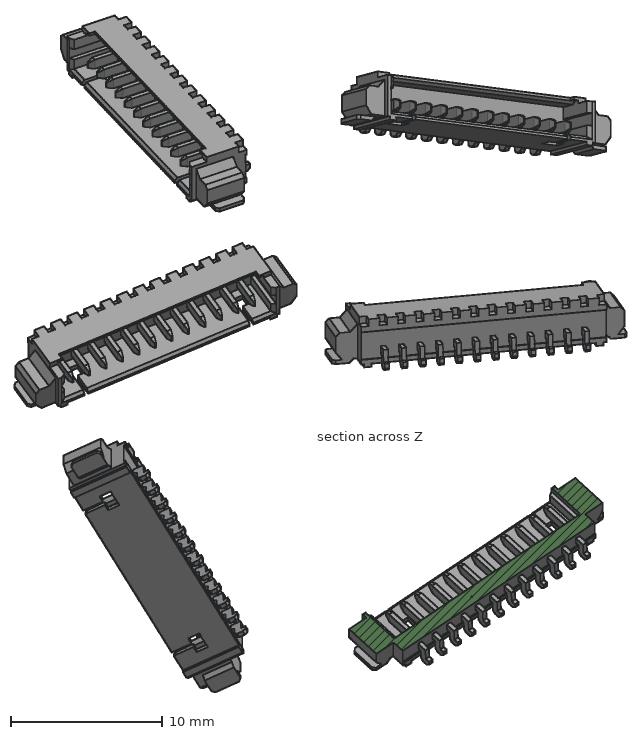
import cadquery as cq


pin_count = 12
pitch = 1.25
pin_width = 0.32
pin_row_half = (pin_count - 1) * pitch / 2
pin_positions = [i * pitch - pin_row_half for i in range(pin_count)]

housing_length = 16.75
housing_depth = 4.2
housing_top = 3.4
housing_bottom = 0.22
half_length = housing_length / 2

side_wall_top = 3.0
ear_front = 1.15
roof_front = 1.58
roof_opening_half = 7.45

cavity_half = 7.8
cavity_floor = 0.6
cavity_roof = 3.0
cavity_back = 2.9
lead_in = 0.2
wall_groove_bottom = 1.36
wall_groove_top = 2.2
wall_groove_depth = 0.3

rear_recess = 0.1
rear_recess_bottom = 0.55
rear_recess_top = 2.5
notch_width = 0.5
notch_depth = 0.6
notch_height = 0.5

slit_x = pin_row_half - pitch / 2
slit_width = 0.28
slit_end = 1.47
window_width = 1.2
window_end = 2.3

rail_width = 0.5
rail_inset = 0.2

blade_bottom = 0.95
blade_top = 1.7
blade_shoulder = 1.15
blade_tip = 0.7
tip_width = 0.1
tip_bottom = 1.1
tip_top = 1.5

tail_top = 1.38
tail_underside = 0.9
tail_bend_radius = 0.22
tail_heel_front = 4.38
tail_back_top = 4.83
tail_back_bottom = 4.88
tail_end = 5.2
foot_top = 0.52
foot_chamfer = 0.2

clip_front = 0.36
clip_back = 3.16
clip_outer = 9.87
clip_root_top = 2.72
clip_top = 2.2
clip_top_inner = 8.88
clip_top_outer = 9.6
clip_side_top = 1.93
clip_side_bottom = 0.83
clip_bottom_outer = 9.44
tab_outer = 10.075
tab_inner_top = 8.65
tab_inner_bottom = 8.93
tab_front = 0.97
tab_thickness = 0.28
tab_corner = 0.2


def box(x0, x1, y0, y1, z0, z1):
    """Box between opposite corners."""
    return cq.Workplane("XY").box(x1 - x0, y1 - y0, z1 - z0, centered=False).translate((x0, y0, z0))


def both_ends(shape):
    """The shape together with its mirror image at the other end of the row."""
    return shape.union(shape.mirror("YZ"))


def rectangle_loft(near, far, y_near, y_far):
    """Straight-sided solid between two XZ rectangles given as (half width, bottom, top)."""
    wires = []
    for (half, bottom, top), y in ((near, y_near), (far, y_far)):
        corners = [(-half, y, bottom), (half, y, bottom), (half, y, top), (-half, y, top)]
        wires.append(cq.Wire.makePolygon([cq.Vector(*p) for p in corners], close=True))
    return cq.Workplane(obj=cq.Solid.makeLoft(wires, True))


def make_shell():
    """Outer block with lowered side walls and a set-back roof."""
    shell = box(-half_length, half_length, 0, housing_depth, housing_bottom, housing_top)
    shell = shell.cut(box(-half_length, half_length, 0, ear_front, side_wall_top, housing_top))
    return shell.cut(box(-roof_opening_half, roof_opening_half, 0, roof_front, side_wall_top, housing_top))


def make_cavity():
    """Mating cavity with lead-in chamfers and a groove along each side wall."""
    cavity = box(-cavity_half, cavity_half, 0, cavity_back, cavity_floor, cavity_roof)
    groove_half = cavity_half + wall_groove_depth
    cavity = cavity.union(
        box(-groove_half, groove_half, 0, cavity_back, wall_groove_bottom, wall_groove_top)
    )
    mouth = (cavity_half + wall_groove_depth, cavity_floor - lead_in, side_wall_top)
    throat = (cavity_half, cavity_floor, side_wall_top)
    cavity = cavity.union(rectangle_loft(mouth, throat, 0, lead_in))
    roof_profile = [
        (ear_front, cavity_roof),
        (ear_front, cavity_roof + lead_in),
        (roof_front, cavity_roof + lead_in),
        (roof_front + lead_in, cavity_roof),
    ]
    roof_lead_in = (
        cq.Workplane("YZ").polyline(roof_profile).close().extrude(cavity_half, both=True)
    )
    return cavity.union(roof_lead_in)


def make_rear_cuts():
    """Shallow band across the rear face and notches along its top edge."""
    recess_front = housing_depth - rear_recess
    cuts = box(-half_length, half_length, recess_front, housing_depth, rear_recess_bottom, rear_recess_top)
    notch_front = housing_depth - notch_depth
    notch_bottom = housing_top - notch_height
    notch = box(-notch_width / 2, notch_width / 2, notch_front, housing_depth, notch_bottom, housing_top)
    for x in pin_positions:
        cuts = cuts.union(notch.translate((x, 0, 0)))
    corner_x = half_length - notch_width / 2
    return cuts.union(both_ends(notch.translate((corner_x, 0, 0))))


def make_floor_slits():
    """T-shaped opening through the floor near each end."""
    slit = box(-slit_width / 2, slit_width / 2, 0, slit_end, housing_bottom, cavity_floor)
    window = box(-window_width / 2, window_width / 2, slit_end, window_end, housing_bottom, cavity_floor)
    return both_ends(slit.union(window).translate((slit_x, 0, 0)))


def make_rails():
    """Standoff rail under each end wall."""
    rail_outer = half_length - rail_inset
    return both_ends(box(rail_outer - rail_width, rail_outer, 0, housing_depth, 0, housing_bottom))


def make_pin():
    """Pin centred on X = 0: tapered tip, blade through the rear wall, bent tail."""
    half_width = pin_width / 2
    blade = box(-half_width, half_width, blade_shoulder, cavity_back, blade_bottom, blade_top)
    tip = rectangle_loft(
        (tip_width / 2, tip_bottom, tip_top),
        (half_width, blade_bottom, blade_top),
        blade_tip,
        blade_shoulder,
    )
    bend_start = tail_underside - tail_bend_radius
    bend_end = tail_heel_front - tail_bend_radius
    tail = (
        cq.Workplane("YZ")
        .moveTo(cavity_back, tail_top)
        .lineTo(tail_back_top, tail_top)
        .lineTo(tail_back_bottom, foot_top)
        .lineTo(tail_end, foot_top)
        .lineTo(tail_end, foot_chamfer)
        .lineTo(tail_end - foot_chamfer, 0)
        .lineTo(tail_heel_front + foot_chamfer, 0)
        .lineTo(tail_heel_front, foot_chamfer)
        .lineTo(tail_heel_front, bend_start)
        .radiusArc((bend_end, tail_underside), -tail_bend_radius)
        .lineTo(cavity_back, tail_underside)
        .close()
        .extrude(half_width, both=True)
    )
    return blade.union(tip).union(tail)


def make_clip():
    """Solder clip on the +X end wall: faceted block with a flat tab on the board."""
    block_profile = [
        (half_length, tab_thickness),
        (half_length, clip_root_top),
        (clip_top_inner, clip_top),
        (clip_top_outer, clip_top),
        (clip_outer, clip_side_top),
        (clip_outer, clip_side_bottom),
        (clip_bottom_outer, tab_thickness),
    ]
    block = (
        cq.Workplane("XZ").polyline(block_profile).close()
        .extrude(clip_front - clip_back).translate((0, clip_front, 0))
    )
    tab_profile = [
        (tab_inner_top, tab_thickness),
        (tab_inner_bottom, 0),
        (tab_outer, 0),
        (tab_outer, tab_thickness),
    ]
    tab = (
        cq.Workplane("XZ").polyline(tab_profile).close()
        .extrude(tab_front - clip_back).translate((0, tab_front, 0))
    )
    tab = tab.edges("|Z").edges(">X").chamfer(tab_corner)
    return block.union(tab)


result = make_shell().cut(make_cavity()).cut(make_rear_cuts()).cut(make_floor_slits())
result = result.union(make_rails()).union(both_ends(make_clip()))
pin = make_pin()
for pin_x in pin_positions:
    result = result.union(pin.translate((pin_x, 0, 0)))